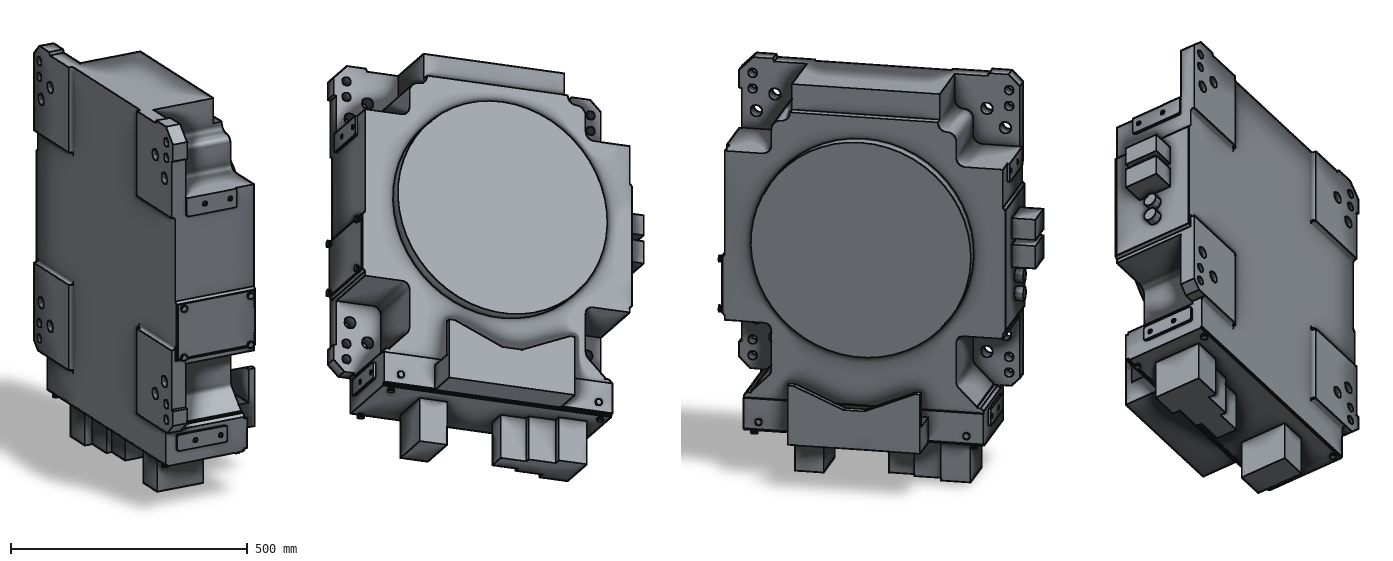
import cadquery as cq
import math


half_width = 301.0
face_y = 9.0
flange_back_y = 34.0
back_y = 199.0
top_z = 341.5
shoulder_back_y = 179.0

shoulder_radius = 20.0
neck_half_width = 160.0
shoulder_top_z = 285.0
ledge_z = 190.0

recess_ceiling_z = -185.0
recess_ceiling_radius = 17.0
recess_half_width = 200.0
slope_fillet_radius = 20.0
slope_top_z = -301.0
slope_bottom_z = -340.0
base_half_width = 259.5
base_top_z = -348.5
base_chamfer = 6.5
base_bottom_z = -423.5

tab_top_z = 348.0
flange_bottom_z = -342.0
right_tab_x = 307.0
corner_sum = 624.5
tab_inner_x = 234.0
tab_slope_width = 3.5
tab_step_top_z = 279.0
tab_step_bottom_z = -285.0
tab_step_slope = 2.0
pad_inner_x = 149.0
pad_limit_z = 149.5
pad_root_radius = 7.0
pad_side_root_radius = 5.0

small_hole_diameter = 19.0
small_holes = [(277.5, 313.0), (277.5, 278.0)]
large_hole_diameter = 25.0
large_holes = [(229.5, 269.5), (269.5, 229.5)]

bulge_height = 5.0
bulge_chamfer_drop = 5.5
panel_front_y = 12.0
panel_back_y = 196.0
panel_margin = 6.0
left_bulge_z = (-175.0, 105.0)
right_bulge_z = (-175.0, -40.0)
left_panel_x = -306.5
right_panel_x = 308.5

plug_tip_x = -357.5
plug_y = (58.0, 136.5)
plug_z_ranges = [(18.5, 63.5), (-45.0, 5.0)]
gland_tip_x = -325.0
gland_y = 97.0
gland_diameter = 30.0
gland_z_positions = [-75.0, -115.0]

screw_stem_diameter = 9.0
screw_head_diameter = 14.0
screw_head_height = 3.5
right_screw_length = 8.0
right_screw_y = [23.0, 183.5]
right_screw_z = [-54.5, -165.0]
bottom_screw_length = 8.0
bottom_screw_x = [-237.0, 239.0]
bottom_screw_y = [18.5, 190.0]
back_screw_length = 9.0
back_screw_x = [-225.0, 225.0]
back_screw_z = -402.0

clip_thickness = 5.0
clip_y = (34.0, 155.0)
clip_corner_radius = 5.0
upper_clip_z = (148.0, 190.0)
lower_clip_z = (-395.0, -358.5)
clip_hole_diameter = 10.0
clip_hole_y = [78.0, 139.0]
upper_clip_hole_z = 170.0
lower_clip_hole_z = -377.5

disc_radius = 238.0
disc_back_y = 228.0

cover_thickness = 2.5
connector_bottom_z = -523.0
connector_mid_y = 99.5
connectors = [
    (-221.0, -157.0, 111.0),
    (-157.0, -95.5, 75.0),
    (-95.5, -37.5, 49.0),
    (97.0, 159.0, 111.0),
]
back_cover_y = 205.0
back_cover_z = (-420.0, -353.0)

bracket_x = (-141.0, 145.0)
bracket_back_y = 287.1
bracket_plate_y = 272.0
bracket_block_top_z = -368.0
bracket_top_z = -292.5
notch_top_x = (-130.0, 132.0)
notch_bottom_x = (-21.0, 24.0)
notch_bottom_z = -338.0


def box(x_range, y_range, z_range):
    """Axis-aligned block between the given limits."""
    sizes = [high - low for low, high in (x_range, y_range, z_range)]
    return cq.Workplane("XY").box(*sizes, centered=False).translate((x_range[0], y_range[0], z_range[0]))


def xz_prism(sketch, y_start, y_end):
    """Extrude a closed XZ outline from y_start to y_end."""
    return sketch.extrude(-(y_end - y_start)).translate((0, y_start, 0))


def rod(start, direction, diameter, length):
    solid = cq.Solid.makeCylinder(diameter / 2, length, cq.Vector(*start), cq.Vector(*direction))
    return cq.Workplane(obj=solid)


def screw(start, direction, length):
    """Screw on a surface: narrow stem with a wider head at its end."""
    stem_length = length - screw_head_height
    head_start = [p + d * stem_length for p, d in zip(start, direction)]
    stem = rod(start, direction, screw_stem_diameter, stem_length)
    return stem.union(rod(head_start, direction, screw_head_diameter, screw_head_height))


def shoulder_cut():
    """Right-hand material removed above the S-curved shoulder, behind the flange."""
    r = shoulder_radius
    x0 = neck_half_width
    bend = r * math.sqrt(0.5)
    foot_z = ledge_z + r
    outside = half_width + r
    sketch = (
        cq.Workplane("XZ")
        .moveTo(x0, top_z + r)
        .lineTo(x0, shoulder_top_z)
        .threePointArc((x0 + r - bend, shoulder_top_z - bend), (x0 + r, shoulder_top_z - r))
        .threePointArc((x0 + r + bend, shoulder_top_z - 2 * r + bend), (x0 + 2 * r, shoulder_top_z - 2 * r))
        .lineTo(x0 + 2 * r, foot_z)
        .threePointArc((x0 + 3 * r - bend, foot_z - bend), (x0 + 3 * r, ledge_z))
        .lineTo(outside, ledge_z)
        .lineTo(outside, top_z + r)
        .close()
    )
    return xz_prism(sketch, flange_back_y, back_y)


def recess_cut():
    """Right-hand recess between the side panel and the base box, behind the flange."""
    wall = recess_half_width
    rc = recess_ceiling_radius
    rs = slope_fillet_radius
    half_turn = math.radians(22.5)
    slope_start_x = wall + rs * (1 - math.sqrt(0.5))
    fillet_top_z = slope_top_z + rs * math.sqrt(0.5)
    slope_end_x = slope_start_x + slope_top_z - slope_bottom_z
    rim_z = base_top_z + base_chamfer
    ceiling_mid = (
        wall + rc * (1 - math.sqrt(0.5)),
        recess_ceiling_z - rc * (1 - math.sqrt(0.5)),
    )
    slope_mid = (wall + rs * (1 - math.cos(half_turn)), fillet_top_z - rs * math.sin(half_turn))
    outside = half_width + rs
    sketch = (
        cq.Workplane("XZ")
        .moveTo(outside, recess_ceiling_z)
        .lineTo(wall + rc, recess_ceiling_z)
        .threePointArc(ceiling_mid, (wall, recess_ceiling_z - rc))
        .lineTo(wall, fillet_top_z)
        .threePointArc(slope_mid, (slope_start_x, slope_top_z))
        .lineTo(slope_end_x, slope_bottom_z)
        .lineTo(slope_end_x, rim_z)
        .lineTo(base_half_width - base_chamfer, rim_z)
        .lineTo(base_half_width, base_top_z)
        .lineTo(outside, base_top_z)
        .close()
    )
    return xz_prism(sketch, flange_back_y, back_y)


def both_sides(solid):
    return solid.union(solid.mirror("YZ"))


def housing():
    """Main body and base box, with the shoulders and recesses cut from both sides."""
    body = box((-half_width, half_width), (flange_back_y, back_y), (base_top_z, top_z))
    base_x = (-base_half_width, base_half_width)
    base = box(base_x, (face_y, back_y), (base_bottom_z, base_top_z))
    base_front = box(base_x, (face_y, flange_back_y), (base_top_z, flange_bottom_z))
    body = body.union(base).union(base_front)
    top_step = box((-half_width, half_width), (shoulder_back_y, back_y), (shoulder_top_z, top_z))
    return body.cut(top_step).cut(both_sides(shoulder_cut())).cut(both_sides(recess_cut()))


def flange_outline():
    """Front outline of the flanges, with corner cuts, top tabs and the wider right-hand tabs."""
    tab_foot_x = tab_inner_x - tab_slope_width
    points = [
        (-half_width, -(corner_sum - half_width)),
        (-half_width, corner_sum - half_width),
        (-(corner_sum - tab_top_z), tab_top_z),
        (-tab_inner_x, tab_top_z),
        (-tab_foot_x, top_z),
        (tab_foot_x, top_z),
        (tab_inner_x, tab_top_z),
        (corner_sum - tab_top_z, tab_top_z),
        (right_tab_x, corner_sum - right_tab_x),
        (right_tab_x, tab_step_top_z),
        (half_width, tab_step_top_z - tab_step_slope),
        (half_width, tab_step_bottom_z + tab_step_slope),
        (right_tab_x, tab_step_bottom_z),
        (right_tab_x, -(corner_sum - right_tab_x)),
        (corner_sum + flange_bottom_z, flange_bottom_z),
        (-(corner_sum + flange_bottom_z), flange_bottom_z),
    ]
    return cq.Workplane("XZ").polyline(points).close()


def front_flanges():
    """Flange plate trimmed to four raised corner pads in front of the housing face."""
    plate = xz_prism(flange_outline(), 0, flange_back_y)
    column = box((-pad_inner_x, pad_inner_x), (0, face_y), (flange_bottom_z, tab_top_z))
    band = box((-right_tab_x, right_tab_x), (0, face_y), (-pad_limit_z, pad_limit_z))
    return plate.cut(column).cut(band)


def root_fillet(radius, length):
    """Concave fillet strip along +X, between the housing face and a pad wall at Z = 0 that faces +Z."""
    r = radius
    bend = r * (1 - math.sqrt(0.5))
    return (
        cq.Workplane("YZ")
        .moveTo(face_y, 0)
        .lineTo(face_y, r)
        .threePointArc((face_y - bend, bend), (face_y - r, 0))
        .close()
        .extrude(length)
    )


def pad_roots():
    """Fillets where the pads meet the housing face: inward, towards the middle and below."""
    inner_x = pad_inner_x - pad_side_root_radius
    middle_strip = root_fillet(pad_root_radius, half_width - inner_x).translate((inner_x, 0, -pad_limit_z))
    bottom_strip = root_fillet(pad_root_radius, base_half_width - inner_x).mirror("XY")
    bottom_strip = bottom_strip.translate((inner_x, 0, flange_bottom_z))
    side_strip = root_fillet(pad_side_root_radius, top_z - pad_limit_z).rotate((0, 0, 0), (0, 1, 0), -90)
    upper_side = side_strip.translate((pad_inner_x, 0, pad_limit_z))
    lower_side = side_strip.translate((pad_inner_x, 0, flange_bottom_z))
    right_side = (
        middle_strip.union(middle_strip.mirror("XY"))
        .union(bottom_strip)
        .union(upper_side)
        .union(lower_side)
    )
    return both_sides(right_side)


def drill_corners(body):
    for positions, diameter in ((small_holes, small_hole_diameter), (large_holes, large_hole_diameter)):
        for x, z in positions:
            for sign_x in (-1, 1):
                for sign_z in (-1, 1):
                    start = (sign_x * x, 0, sign_z * z)
                    body = body.cut(rod(start, (0, 1, 0), diameter, flange_back_y))
    return body


def side_panel(sign, bulge_z, panel_x):
    """Raised, bevelled seat on one side with a thin connection panel on top."""
    low, high = bulge_z
    root_x = sign * recess_half_width
    seat_x = sign * half_width
    crest_x = sign * (half_width + bulge_height)
    points = [
        (root_x, low),
        (seat_x, low),
        (crest_x, low + bulge_chamfer_drop),
        (crest_x, high - bulge_chamfer_drop),
        (seat_x, high),
        (root_x, high),
    ]
    seat = xz_prism(cq.Workplane("XZ").polyline(points).close(), face_y, back_y)
    panel_z = (low + panel_margin, high - panel_margin)
    panel = box(sorted((seat_x, panel_x)), (panel_front_y, panel_back_y), panel_z)
    return seat.union(panel)


def left_connections():
    parts = side_panel(-1, left_bulge_z, left_panel_x)
    for z_range in plug_z_ranges:
        parts = parts.union(box((plug_tip_x, -half_width), plug_y, z_range))
    for z in gland_z_positions:
        gland = rod((gland_tip_x, gland_y, z), (1, 0, 0), gland_diameter, -half_width - gland_tip_x)
        parts = parts.union(gland)
    return parts


def right_connections():
    parts = side_panel(1, right_bulge_z, right_panel_x)
    for y in right_screw_y:
        for z in right_screw_z:
            parts = parts.union(screw((right_panel_x, y, z), (1, 0, 0), right_screw_length))
    return parts


def clip(base_x, z_range, hole_z, rounded_edges):
    """Right-hand side clip with two holes and rounded corners."""
    plate = box((base_x, base_x + clip_thickness), clip_y, z_range)
    plate = plate.edges(rounded_edges).fillet(clip_corner_radius)
    for y in clip_hole_y:
        plate = plate.cut(rod((base_x, y, hole_z), (1, 0, 0), clip_hole_diameter, clip_thickness))
    return plate


def clips():
    upper = clip(half_width, upper_clip_z, upper_clip_hole_z, "|X and <Z")
    lower = clip(base_half_width, lower_clip_z, lower_clip_hole_z, "|X")
    return both_sides(upper.union(lower))


def disc():
    return rod((0, back_y, 0), (0, 1, 0), 2 * disc_radius, disc_back_y - back_y)


def base_fittings():
    """Bottom and back covers with their screws, and the power connectors below."""
    base_x = (-base_half_width, base_half_width)
    bottom_cover_z = base_bottom_z - cover_thickness
    parts = box(base_x, (panel_front_y, panel_back_y), (bottom_cover_z, base_bottom_z))
    parts = parts.union(box(base_x, (back_y, back_cover_y), back_cover_z))
    for x_start, x_end, depth in connectors:
        y_range = (connector_mid_y - depth / 2, connector_mid_y + depth / 2)
        parts = parts.union(box((x_start, x_end), y_range, (connector_bottom_z, base_bottom_z)))
    for x in bottom_screw_x:
        for y in bottom_screw_y:
            parts = parts.union(screw((x, y, bottom_cover_z), (0, 0, -1), bottom_screw_length))
    for x in back_screw_x:
        parts = parts.union(screw((x, back_cover_y, back_screw_z), (0, 1, 0), back_screw_length))
    return parts


def rear_bracket():
    """L-shaped bracket: block on the back cover and an upright plate with a flared notch."""
    block = box(bracket_x, (back_cover_y, bracket_back_y), (base_bottom_z, bracket_block_top_z))
    outline = [
        (bracket_x[0], base_bottom_z),
        (bracket_x[0], bracket_top_z),
        (notch_top_x[0], bracket_top_z),
        (notch_bottom_x[0], notch_bottom_z),
        (notch_bottom_x[1], notch_bottom_z),
        (notch_top_x[1], bracket_top_z),
        (bracket_x[1], bracket_top_z),
        (bracket_x[1], base_bottom_z),
    ]
    plate = xz_prism(cq.Workplane("XZ").polyline(outline).close(), bracket_plate_y, bracket_back_y)
    return block.union(plate)


body = housing().union(front_flanges()).union(pad_roots())
body = drill_corners(body)
for feature in (left_connections(), right_connections(), clips(), disc(), base_fittings(), rear_bracket()):
    body = body.union(feature)

result = body